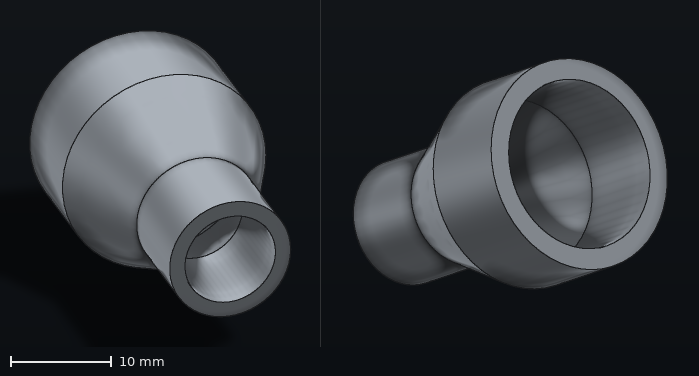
import cadquery as cq

total_length = 30.0
large_diameter = 21.33
large_bore = 17.1
small_diameter = 12.7
small_bore = 9.48

taper_start = total_length / 3
taper_end = total_length - taper_start


def reducer_solid(wide_diameter, narrow_diameter):
    """Revolve a cylinder-cone-cylinder body about the X axis."""
    wide_radius = wide_diameter / 2
    narrow_radius = narrow_diameter / 2
    profile = (
        cq.Workplane("XY")
        .moveTo(0, 0)
        .lineTo(0, wide_radius)
        .lineTo(taper_start, wide_radius)
        .lineTo(taper_end, narrow_radius)
        .lineTo(total_length, narrow_radius)
        .lineTo(total_length, 0)
        .close()
    )
    return profile.revolve(360, (0, 0, 0), (1, 0, 0))


outer_body = reducer_solid(large_diameter, small_diameter)
bore = reducer_solid(large_bore, small_bore)

result = outer_body.cut(bore)